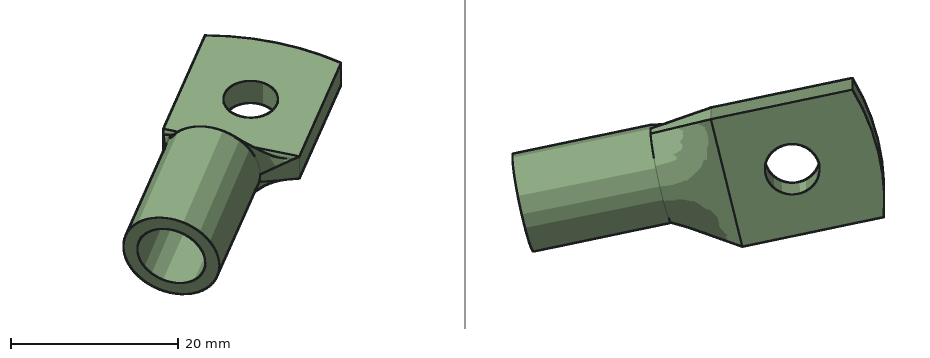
import cadquery as cq

total_length = 43.5
palm_width = 17.0
palm_thickness = 3.6

barrel_diameter = 12.0
bore_diameter = 8.5
barrel_length = 16.9
barrel_bottom = 1.0
barrel_center_z = barrel_bottom + barrel_diameter / 2
barrel_top = barrel_bottom + barrel_diameter

neck_length = 8.0
palm_start = barrel_length + neck_length
end_bow = 1.2
hole_diameter = 6.52
hole_y = 32.97

inflection_run = 3.35
inflection_drop = 4.9
slope_at_barrel = (1.0, -1.2)
slope_at_palm = (1.0, -0.3)


def make_barrel():
    """Solid cylinder of the barrel."""
    plane = cq.Plane(origin=(0, 0, barrel_center_z), xDir=(1, 0, 0), normal=(0, 1, 0))
    return cq.Workplane(plane).circle(barrel_diameter / 2).extrude(barrel_length)


def make_palm():
    """Flat plate whose far end is a shallow arc."""
    half_width = palm_width / 2
    corner_y = total_length - end_bow
    outline = (
        cq.Workplane("XY")
        .moveTo(-half_width, palm_start)
        .lineTo(-half_width, corner_y)
        .threePointArc((0, total_length), (half_width, corner_y))
        .lineTo(half_width, palm_start)
        .close()
    )
    return outline.extrude(palm_thickness)


def make_neck():
    """Straight-ruled blend from the round barrel to the rectangular palm, hollowed on top."""
    plane = cq.Plane(origin=(0, barrel_length, barrel_center_z), xDir=(1, 0, 0), normal=(0, 1, 0))
    palm_center_drop = barrel_center_z - palm_thickness / 2
    blend = (
        cq.Workplane(plane)
        .circle(barrel_diameter / 2)
        .workplane(offset=neck_length)
        .center(0, palm_center_drop)
        .rect(palm_width, palm_thickness)
        .loft(ruled=True)
    )
    slope_points = [
        (barrel_length, barrel_top),
        (barrel_length + inflection_run, barrel_top - inflection_drop),
        (palm_start, palm_thickness),
    ]
    hollow = (
        cq.Workplane("YZ")
        .spline(slope_points, tangents=[slope_at_barrel, slope_at_palm])
        .lineTo(palm_start, barrel_top)
        .close()
        .extrude(palm_width / 2, both=True)
    )
    return blend.cut(hollow)


def make_bore():
    """Blind bore running the length of the barrel."""
    plane = cq.Plane(origin=(0, 0, barrel_center_z), xDir=(1, 0, 0), normal=(0, 1, 0))
    return cq.Workplane(plane).circle(bore_diameter / 2).extrude(barrel_length)


def make_bolt_hole():
    """Round hole through the palm."""
    return cq.Workplane("XY").center(0, hole_y).circle(hole_diameter / 2).extrude(palm_thickness)


body = make_barrel().union(make_neck()).union(make_palm())
result = body.cut(make_bore()).cut(make_bolt_hole())